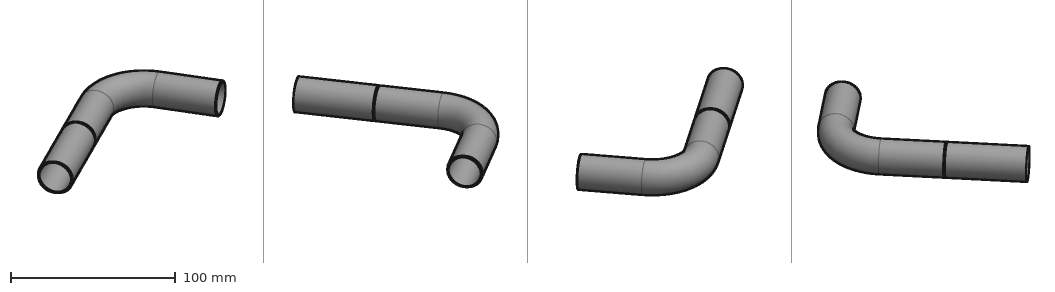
import cadquery as cq

outer_diameter = 22.0
inner_diameter = 20.0
bend_radius = 30.0
leg_length = 40.0
extension_length = 50.0
bevel = 0.5

outer_radius = outer_diameter / 2
joint_y = -leg_length
open_end_y = joint_y - extension_length
far_end_x = bend_radius + leg_length


def bent_rod(diameter):
    """Solid rod along the elbow: up the lower leg, round the bend, out along +X."""
    bend_middle = bend_radius * (1 - 0.5 ** 0.5)
    path = (
        cq.Workplane("XY")
        .moveTo(0, open_end_y)
        .lineTo(0, 0)
        .threePointArc((bend_middle, bend_radius - bend_middle), (bend_radius, bend_radius))
        .lineTo(far_end_x, bend_radius)
    )
    section = cq.Workplane("XZ", origin=(0, open_end_y, 0)).circle(diameter / 2)
    return section.sweep(path)


def joint_groove():
    """V-shaped ring where the bevelled ends of the two tubes meet."""
    profile = [
        (outer_radius - bevel, joint_y),
        (outer_radius, joint_y + bevel),
        (outer_radius + bevel, joint_y + bevel),
        (outer_radius + bevel, joint_y - bevel),
        (outer_radius, joint_y - bevel),
    ]
    return cq.Workplane("XY").polyline(profile).close().revolve(360, (0, 0), (0, 1))


body = bent_rod(outer_diameter).faces(">X").chamfer(bevel)
result = body.cut(joint_groove()).cut(bent_rod(inner_diameter))